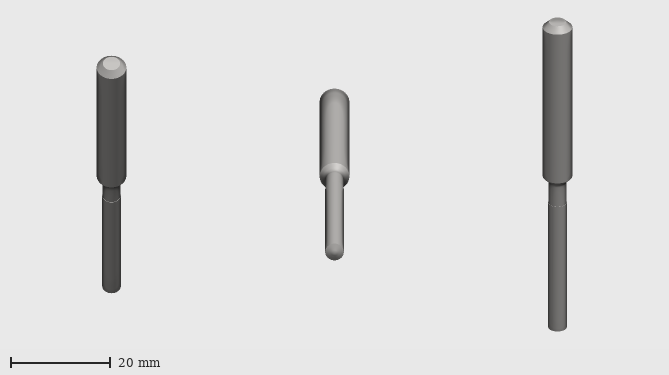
import cadquery as cq
import math

TOOL_LENGTH = 72.0

SHANK_RADIUS = 6.0 / 2
SHANK_LENGTH = 36.0
TOP_CHAMFER_HEIGHT = 1.2
TOP_FACE_RADIUS = 1.7
TAPER_ANGLE = 45.0

NECK_RADIUS = 1.8
NECK_FILLET_RADIUS = 0.9

CUTTER_RADIUS = 1.9
CUTTER_LENGTH = 29.8
POINT_ANGLE = 140.0

shank_bottom = TOOL_LENGTH - SHANK_LENGTH
taper_height = (SHANK_RADIUS - NECK_RADIUS) / math.tan(math.radians(TAPER_ANGLE))
taper_bottom = shank_bottom - taper_height
point_height = CUTTER_RADIUS / math.tan(math.radians(POINT_ANGLE / 2))


def make_holder():
    """Shank, taper and neck turned as one body, from the cutter joint upwards."""
    tangent_length = NECK_FILLET_RADIUS * math.tan(math.radians(TAPER_ANGLE / 2))
    fillet_bottom = (NECK_RADIUS, taper_bottom - tangent_length)
    fillet_top = (
        NECK_RADIUS + tangent_length * math.sin(math.radians(TAPER_ANGLE)),
        taper_bottom + tangent_length * math.cos(math.radians(TAPER_ANGLE)),
    )
    return (
        cq.Workplane("XZ")
        .moveTo(0, CUTTER_LENGTH)
        .lineTo(NECK_RADIUS, CUTTER_LENGTH)
        .lineTo(*fillet_bottom)
        .radiusArc(fillet_top, NECK_FILLET_RADIUS)
        .lineTo(SHANK_RADIUS, shank_bottom)
        .lineTo(SHANK_RADIUS, TOOL_LENGTH - TOP_CHAMFER_HEIGHT)
        .lineTo(TOP_FACE_RADIUS, TOOL_LENGTH)
        .lineTo(0, TOOL_LENGTH)
        .close()
        .revolve(360, (0, 0), (0, 1))
    )


def make_cutter():
    """Cylindrical cutting end with its conical point at the origin."""
    return (
        cq.Workplane("XZ")
        .moveTo(0, 0)
        .lineTo(CUTTER_RADIUS, point_height)
        .lineTo(CUTTER_RADIUS, CUTTER_LENGTH)
        .lineTo(0, CUTTER_LENGTH)
        .close()
        .revolve(360, (0, 0), (0, 1))
    )


holder = make_holder()
cutter = make_cutter()

result = cq.Compound.makeCompound([holder.val(), cutter.val()])